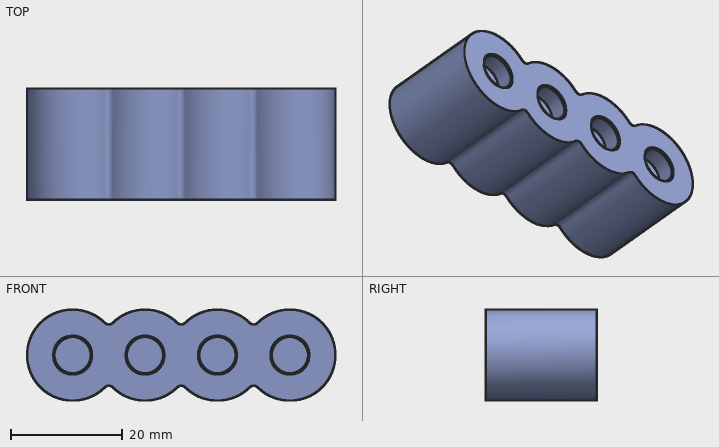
import cadquery as cq
import math

lobe_count = 4
lobe_pitch = 13.0
lobe_radius = 8.2
body_depth = 20.0
valley_radius = 1.0
hole_diameter = 6.5
hole_depth = 3.5
mouth_chamfer = 0.25

lobe_centers = [(i - (lobe_count - 1) / 2) * lobe_pitch for i in range(lobe_count)]
front_y = -body_depth / 2

valley_center_z = math.sqrt((lobe_radius + valley_radius) ** 2 - (lobe_pitch / 2) ** 2)
valley_bottom_z = valley_center_z - valley_radius
tangent_ratio = lobe_radius / (lobe_radius + valley_radius)
tangent_x = tangent_ratio * lobe_pitch / 2
tangent_z = tangent_ratio * valley_center_z


def front_plane():
    """XZ sketch plane on the front face; its normal points to -Y, out of the body."""
    return cq.Workplane("XZ", origin=(0, front_y, 0))


def add_scalloped_edge(outline, centers, side):
    """Run along one long side: side is +1 (top, toward +X) or -1 (bottom, toward -X)."""
    for here, following in zip(centers, centers[1:]):
        valley_x = (here + following) / 2
        outline = (
            outline
            .threePointArc((here, side * lobe_radius), (here + side * tangent_x, side * tangent_z))
            .threePointArc((valley_x, side * valley_bottom_z),
                           (following - side * tangent_x, side * tangent_z))
        )
    last = centers[-1]
    return outline.threePointArc((last, side * lobe_radius), (last + side * lobe_radius, 0))


def make_body():
    outline = front_plane().moveTo(lobe_centers[0] - lobe_radius, 0)
    outline = add_scalloped_edge(outline, lobe_centers, 1)
    outline = add_scalloped_edge(outline, lobe_centers[::-1], -1)
    return outline.close().extrude(-body_depth)


def make_hole(x):
    """Blind hole on a lobe axis, widened by a cone at its mouth."""
    mouth_radius = hole_diameter / 2 + mouth_chamfer
    profile = (
        cq.Workplane("XY", origin=(x, front_y, 0))
        .lineTo(mouth_radius, 0)
        .lineTo(hole_diameter / 2, mouth_chamfer)
        .lineTo(hole_diameter / 2, hole_depth)
        .lineTo(0, hole_depth)
        .close()
    )
    return profile.revolve(360, (0, 0, 0), (0, 1, 0))


result = make_body()
for lobe_x in lobe_centers:
    result = result.cut(make_hole(lobe_x))